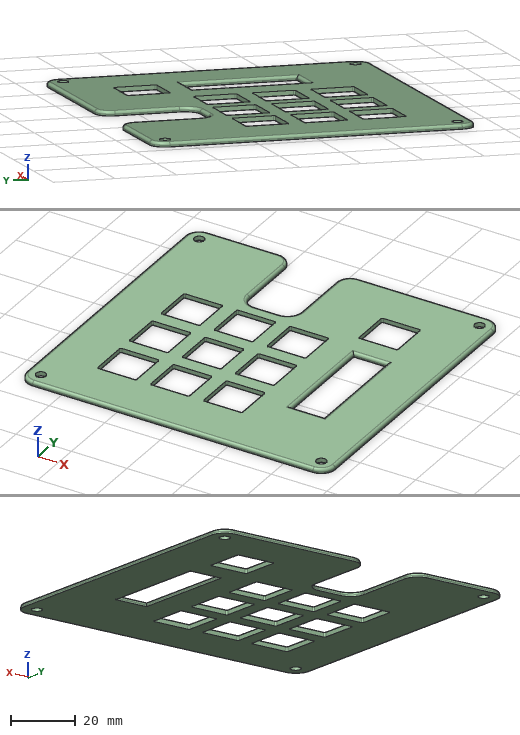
import cadquery as cq

length = 111.0
width = 105.0
thickness = 1.5
corner_radius = 5.0
top_edge_radius = 1.0

notch_width = 18.6
notch_centre_x = -10.4
notch_floor_y = 21.5

screw_hole_diameter = 3.4
screw_spacing_x = length - 2 * corner_radius
screw_spacing_y = width - 2 * corner_radius

key_size = 14.0
key_corner_radius = 0.5
key_pitch = 19.1
keys_per_side = 3
pad_centre = (-11.5, -9.1)
single_key_centre = (29.3, 28.9)

window_width = 12.0
window_length = 37.7
window_centre = (31.6, -5.4)


def plate_blank():
    """Plate with a notch open to the back edge and every outline corner rounded."""
    notch_depth = width / 2 - notch_floor_y
    notch = (
        cq.Workplane("XY")
        .center(notch_centre_x, notch_floor_y + notch_depth / 2)
        .rect(notch_width, notch_depth)
        .extrude(thickness)
    )
    plate = cq.Workplane("XY").rect(length, width).extrude(thickness).cut(notch)
    return plate.edges("|Z").fillet(corner_radius)


def display_window():
    return cq.Workplane("XY").center(*window_centre).rect(window_width, window_length).extrude(thickness)


def screw_holes():
    return (
        cq.Workplane("XY")
        .rect(screw_spacing_x, screw_spacing_y, forConstruction=True)
        .vertices()
        .circle(screw_hole_diameter / 2)
        .extrude(thickness)
    )


def key_openings():
    middle = (keys_per_side - 1) / 2
    centres = [single_key_centre]
    for column in range(keys_per_side):
        for row in range(keys_per_side):
            x = pad_centre[0] + (column - middle) * key_pitch
            y = pad_centre[1] + (row - middle) * key_pitch
            centres.append((x, y))
    openings = cq.Workplane("XY").pushPoints(centres).rect(key_size, key_size).extrude(thickness)
    return openings.edges("|Z").fillet(key_corner_radius)


plate = plate_blank().cut(display_window())
plate = plate.faces(">Z").edges().fillet(top_edge_radius)

result = plate.cut(screw_holes()).cut(key_openings())